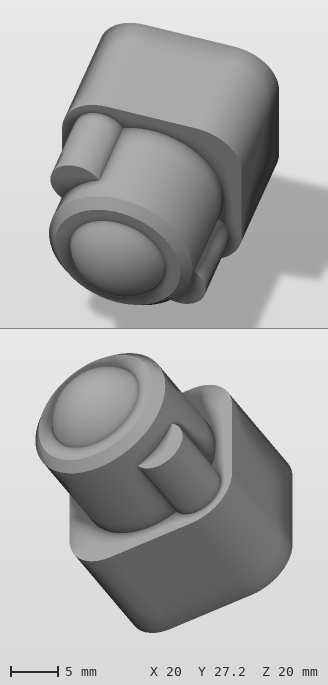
import cadquery as cq
import math

body_side = 20.0
body_depth = 12.5
body_corner_radius = 5.0

barrel_diameter = 16.0
barrel_length = 11.45
barrel_chamfer = 1.0

pin_diameter = 6.0
pin_length = 7.98
pin_offset = barrel_diameter / 2 * math.sqrt(0.5)

total_length = 27.25
ball_radius = 6.0
ball_center_y = -(total_length - body_depth - ball_radius)


def rod(diameter, length, x=0.0, z=0.0):
    """Cylinder running from the housing front face (Y = 0) toward -Y."""
    return cq.Workplane("XZ").center(x, z).circle(diameter / 2).extrude(length)


body = (
    cq.Workplane("XZ")
    .rect(body_side, body_side)
    .extrude(-body_depth)
    .edges("|Y")
    .fillet(body_corner_radius)
)

barrel = rod(barrel_diameter, barrel_length).faces("<Y").edges().chamfer(barrel_chamfer)
ball = cq.Workplane("XY").sphere(ball_radius).translate((0, ball_center_y, 0))

result = body.union(barrel).union(ball)
for side in (-1, 1):
    pin = rod(pin_diameter, pin_length, x=side * pin_offset, z=-side * pin_offset)
    result = result.union(pin)